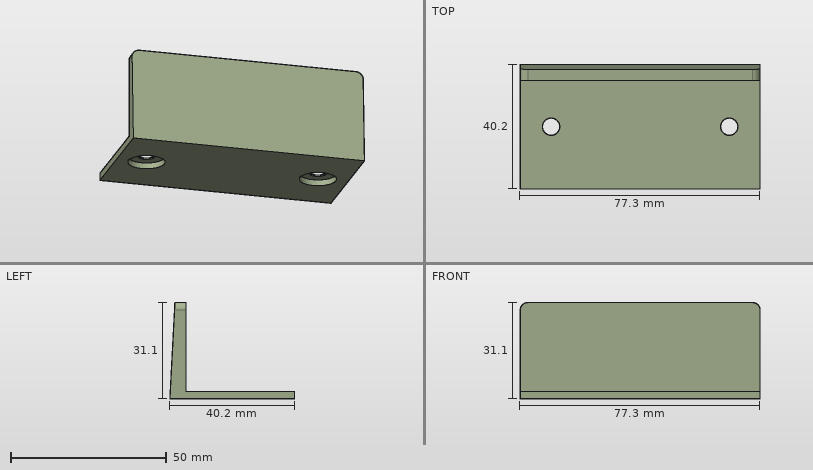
import cadquery as cq

length = 77.3
depth = 40.2
height = 31.1

base_thickness = 2.5
wall_root_thickness = 5.25
wall_top_thickness = 3.6
corner_radius = 2.5

hole_diameter = 5.5
counterbore_diameter = 12.0
counterbore_floor_thickness = 0.5
counterbore_depth = base_thickness - counterbore_floor_thickness
hole_end_distance = 10.0
hole_spacing = length - 2 * hole_end_distance

wall_front_y = depth / 2 - wall_root_thickness
section = [
    (-depth / 2, 0),
    (depth / 2, 0),
    (wall_front_y + wall_top_thickness, height),
    (wall_front_y, height),
    (wall_front_y, base_thickness),
    (-depth / 2, base_thickness),
]
bracket = cq.Workplane("YZ").polyline(section).close().extrude(length / 2, both=True)

silhouette = (
    cq.Workplane("XY")
    .box(length, depth, height, centered=(True, True, False))
    .edges("|Y and >Z")
    .fillet(corner_radius)
)
bracket = bracket.intersect(silhouette)

hole_centers = cq.Workplane("XY").pushPoints([(-hole_spacing / 2, 0), (hole_spacing / 2, 0)])
holes = hole_centers.circle(hole_diameter / 2).extrude(base_thickness)
counterbores = hole_centers.circle(counterbore_diameter / 2).extrude(counterbore_depth)
result = bracket.cut(holes).cut(counterbores)